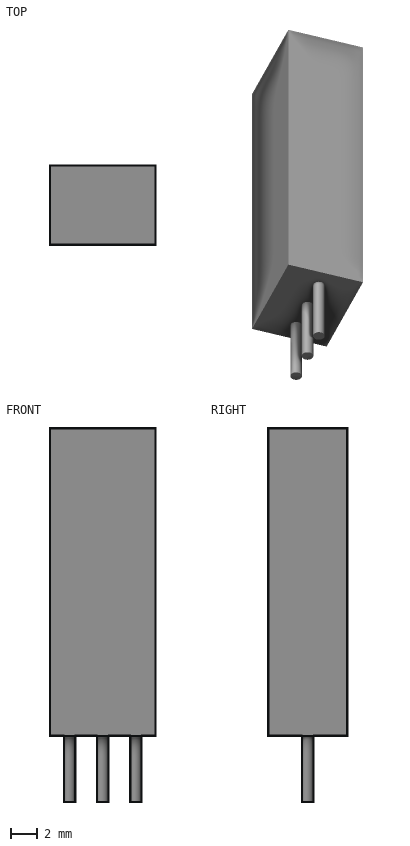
import cadquery as cq

housing_length = 8.13
housing_width = 6.10
overall_height = 28.73

pin_count = 3
pin_diameter = 0.89
pin_pitch = 2.54
pin_length = 5.08

housing_height = overall_height - pin_length


def make_housing():
    """Plain rectangular block standing on the XY plane."""
    return cq.Workplane("XY").box(
        housing_length, housing_width, housing_height, centered=(True, True, False)
    )


def make_pin(x):
    """Round pin that hangs from the underside of the housing at the given X."""
    return cq.Workplane("XY").center(x, 0).circle(pin_diameter / 2).extrude(-pin_length)


housing = make_housing()

first_pin_x = -pin_pitch * (pin_count - 1) / 2
pins = [make_pin(first_pin_x + i * pin_pitch) for i in range(pin_count)]

result = cq.Compound.makeCompound([housing.val(), *[pin.val() for pin in pins]])